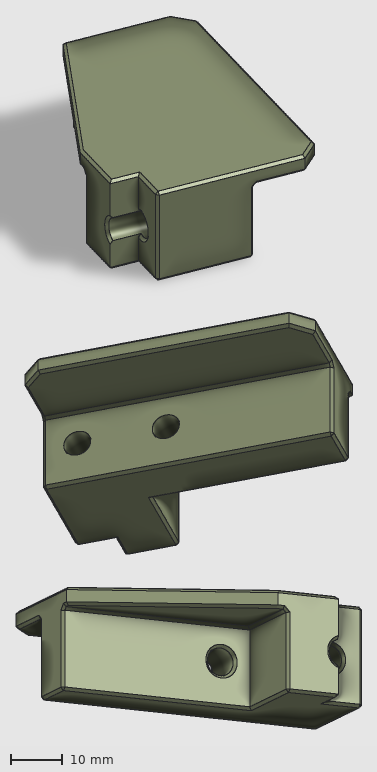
import cadquery as cq

LENGTH = 59.0
DEPTH = 42.0
HEIGHT = 20.0

PLATE_THICKNESS = 3.6
REAR_CORNER_CUT = 4.0
SLANT_START_Y = 15.0
SLANT_END_X = 38.0
STEP_X = 51.0
STEP_Y = 6.1

WALL_FRONT_Y = 17.0
WALL_BACK_Y = 27.0
LEG_LEFT_X = 40.0

HOLE_DIAMETER = 5.5
WALL_HOLE_X = 34.0
STEP_HOLE_X = 52.0
HOLE_Z = 9.0

CHAMFER = 0.6

PLATE_BOTTOM_Z = HEIGHT - PLATE_THICKNESS
TOLERANCE = 0.005


def make_plate():
    outline = [
        (0, SLANT_START_Y),
        (SLANT_END_X, 0),
        (STEP_X, 0),
        (STEP_X, STEP_Y),
        (LENGTH, STEP_Y),
        (LENGTH, DEPTH - REAR_CORNER_CUT),
        (LENGTH - REAR_CORNER_CUT, DEPTH),
        (REAR_CORNER_CUT, DEPTH),
        (0, DEPTH - REAR_CORNER_CUT),
    ]
    plate = cq.Workplane("XY").workplane(offset=PLATE_BOTTOM_Z).polyline(outline).close()
    return plate.extrude(PLATE_THICKNESS)


def make_support():
    """L-shaped wall and leg below the plate."""
    outline = [
        (0, WALL_FRONT_Y),
        (LEG_LEFT_X, WALL_FRONT_Y),
        (LEG_LEFT_X, 0),
        (STEP_X, 0),
        (STEP_X, STEP_Y),
        (LENGTH, STEP_Y),
        (LENGTH, WALL_BACK_Y),
        (0, WALL_BACK_Y),
    ]
    return cq.Workplane("XY").polyline(outline).close().extrude(PLATE_BOTTOM_Z)


def is_chamfered(edge):
    """All horizontal edges, plus the outer upright edges of the support and step."""
    box = edge.BoundingBox()
    if box.zlen < TOLERANCE:
        return True
    upright_corners = [
        (0, WALL_FRONT_Y),
        (0, WALL_BACK_Y),
        (LEG_LEFT_X, 0),
        (LENGTH, WALL_BACK_Y),
        (LENGTH, STEP_Y),
    ]
    center = edge.Center()
    return any(
        abs(center.x - x) < TOLERANCE and abs(center.y - y) < TOLERANCE
        for x, y in upright_corners
    )


def hole_tool(x, mouth_y):
    """Through-hole cutter with a countersink opening toward the front at mouth_y."""
    radius = HOLE_DIAMETER / 2
    profile = [
        (0, -DEPTH),
        (radius + CHAMFER, -DEPTH),
        (radius + CHAMFER, mouth_y),
        (radius, mouth_y + CHAMFER),
        (radius, DEPTH),
        (0, DEPTH),
    ]
    tool = cq.Workplane("XY").polyline(profile).close().revolve(360, (0, 0), (0, 1))
    return tool.translate((x, 0, HOLE_Z))


body = make_plate().union(make_support()).clean()
chamfered_edges = [edge for edge in body.edges().vals() if is_chamfered(edge)]
body = body.newObject(chamfered_edges).chamfer(CHAMFER)

step_side = cq.Workplane("XY").box(LENGTH, DEPTH, HEIGHT, centered=False).translate((STEP_X, 0, 0))
step_hole = hole_tool(STEP_HOLE_X, 0).union(hole_tool(STEP_HOLE_X, STEP_Y).intersect(step_side))

result = body.cut(hole_tool(WALL_HOLE_X, WALL_FRONT_Y)).cut(step_hole)